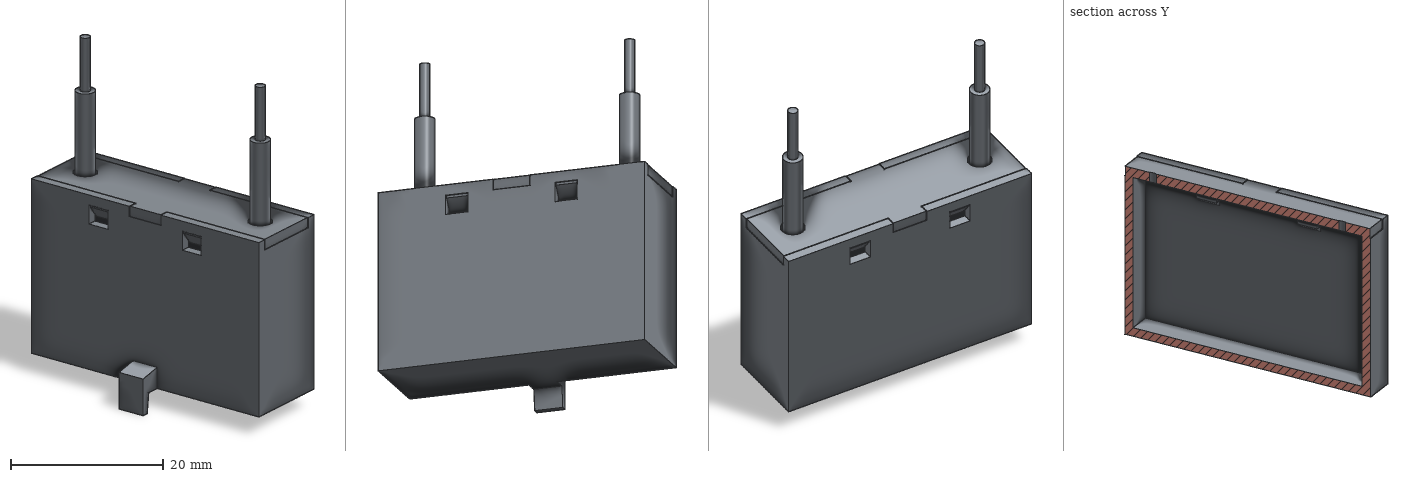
import cadquery as cq

length = 37.3
depth = 12.2
height = 24.75
wall = 1.3
floor_thickness = 1.3
cavity_length = length - 2 * wall
cavity_depth = depth - 2 * wall

lid_thickness = 1.45
lid_gap = 0.1
tab_notch_width = 5.2
lid_bottom = height - lid_thickness

window_width = 3.1
window_height = 2.65
window_offset = 7.65
clip_clearance = 0.05
clip_width = window_width - 2 * clip_clearance
clip_recess = 0.25
clip_lip = 0.35
clip_height = 2.0
clip_tip_depth = 1.5
clip_back_depth = 2.1

cable_spacing = 28.65
sleeve_diameter = 2.7
cable_hole_diameter = 3.25
sleeve_rise = 11.65
wire_diameter = 1.35
wire_length = 7.65

hook_width = 3.95
hook_reach = 3.1
hook_root_height = 3.0
hook_front_height = 2.35
hook_drop = 2.85
hook_neck = 1.25
hook_tip = 0.95

front_y = -depth / 2
window_places = [-window_offset, window_offset]
cable_points = [(-cable_spacing / 2, 0), (cable_spacing / 2, 0)]


def block(size_x, size_y, bottom, top):
    """Box centred on the Z axis between two heights."""
    return cq.Workplane("XY").workplane(offset=bottom).rect(size_x, size_y).extrude(top - bottom)


def plank(points, width, center_x):
    """Outline in (Y, Z) extruded along X, centred on center_x."""
    outline = cq.Workplane("YZ").workplane(offset=center_x - width / 2)
    return outline.polyline(points).close().extrude(width)


def make_housing():
    body = block(length, depth, 0, height)
    body = body.cut(block(cavity_length, cavity_depth, floor_thickness, height))
    body = body.cut(block(length, cavity_depth, lid_bottom, height))
    body = body.cut(block(tab_notch_width, depth, lid_bottom, height))
    for x in window_places:
        window = block(window_width, depth, lid_bottom - window_height, lid_bottom)
        body = body.cut(window.translate((x, 0, 0)))
    return body


def make_lid():
    plate = block(length - 2 * lid_gap, cavity_depth - 2 * lid_gap, lid_bottom, height)
    tabs = block(tab_notch_width - 2 * lid_gap, depth - 2 * lid_gap, lid_bottom, height)
    holes = cq.Workplane("XY").workplane(offset=lid_bottom).pushPoints(cable_points)
    return plate.union(tabs).cut(holes.circle(cable_hole_diameter / 2).extrude(lid_thickness))


def make_clip(x):
    """Front clip: a wedge whose underside slopes inward and down."""
    profile = [
        (front_y + clip_recess, lid_bottom),
        (front_y + clip_recess, lid_bottom - clip_lip),
        (front_y + clip_tip_depth, lid_bottom - clip_height),
        (front_y + clip_back_depth, lid_bottom - clip_height),
        (front_y + clip_back_depth, lid_bottom),
    ]
    return plank(profile, clip_width, x)


def make_cables():
    """Both cables, rooted in the housing floor and passing freely through the lid."""
    sleeve_top = height + sleeve_rise
    base = cq.Workplane("XY").pushPoints(cable_points)
    sleeves = base.circle(sleeve_diameter / 2).extrude(sleeve_top)
    ends = cq.Workplane("XY").workplane(offset=sleeve_top).pushPoints(cable_points)
    return sleeves.union(ends.circle(wire_diameter / 2).extrude(wire_length))


def make_hook():
    outer_y = front_y - hook_reach
    profile = [
        (front_y, 0),
        (front_y, hook_root_height),
        (outer_y, hook_front_height),
        (outer_y, -hook_drop),
        (outer_y + hook_tip, -hook_drop),
        (outer_y + hook_neck, 0),
    ]
    return plank(profile, hook_width, 0)


result = make_housing().union(make_lid())
for x in window_places:
    front_clip = make_clip(x)
    result = result.union(front_clip).union(front_clip.mirror("XZ"))
result = result.union(make_cables()).union(make_hook())